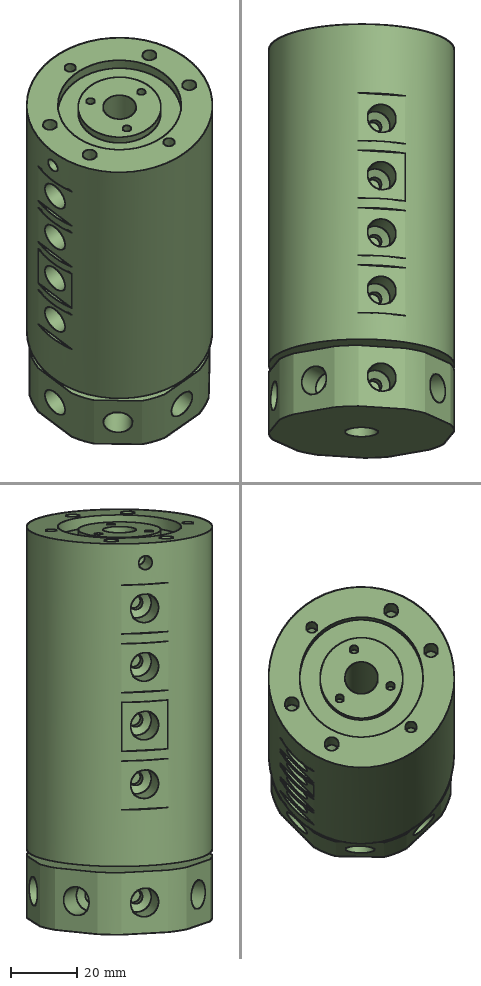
import cadquery as cq
import math

total_height = 120.0
body_diameter = 56.0
body_radius = body_diameter / 2
base_height = 19.1
neck_height = 1.9
neck_diameter = 34.0
bore_diameter = 10.0

flat_width = 14.5
flat_distance = math.sqrt(body_radius**2 - (flat_width / 2) ** 2)
base_flat_count = 8

pad_height = 15.0
pad_pitch = 18.0
pad_count = 4
front_pad_drop = 20.2
back_pad_drop = front_pad_drop + pad_pitch / 2

port_diameter = 8.8
port_depth = 8.0
passage_diameter = 4.2
passage_end_depth = 12.0
drill_point_angle = 118.0

recess_diameter = 37.2
recess_depth = 3.5
boss_diameter = 25.0
boss_drop = 1.0

mount_hole_diameter = 4.2
mount_hole_depth = 10.0
mount_circle_radius = 22.5
mount_hole_angles = (67.5, 112.5, 247.5, 292.5)
side_hole_diameter = 3.4
side_hole_depth = 8.0
side_circle_radius = 21.5
side_hole_angles = (0, 180)
boss_hole_diameter = 2.5
boss_hole_depth = 6.0
boss_circle_radius = 9.1
boss_hole_angles = (90, 210, 330)
set_screw_diameter = 4.2
set_screw_depth = 8.0
set_screw_drop = 6.0

FRONT = -90
BACK = 90


def cylinder(diameter, bottom, top):
    """Upright cylinder on the Z axis between two heights."""
    return cq.Workplane("XY").workplane(offset=bottom).circle(diameter / 2).extrude(top - bottom)


def on_side(cutter, angle, height):
    """Turn a cutter that points along +X to the given angle and raise it."""
    return cutter.rotate((0, 0, 0), (0, 0, 1), angle).translate((0, 0, height))


def point_length(large_diameter, small_diameter=0.0):
    """Axial length of a drill-point cone between two diameters."""
    return (large_diameter - small_diameter) / 2 / math.tan(math.radians(drill_point_angle / 2))


def drilled_hole(diameter, depth):
    """Blind hole with its mouth at the origin, going down to a pointed bottom."""
    profile = [
        (0, 0),
        (diameter / 2, 0),
        (diameter / 2, -depth),
        (0, -depth - point_length(diameter)),
    ]
    return cq.Workplane("XZ").polyline(profile).close().revolve(360, (0, 0), (0, 1))


def port_cutter():
    """Port pointing inward along the X axis, with its mouth on the flat."""
    port_radius = port_diameter / 2
    passage_radius = passage_diameter / 2
    cone_start = flat_distance - port_depth
    cone_end = cone_start - point_length(port_diameter, passage_diameter)
    passage_end = flat_distance - passage_end_depth
    profile = [
        (body_radius, 0),
        (body_radius, port_radius),
        (cone_start, port_radius),
        (cone_end, passage_radius),
        (passage_end, passage_radius),
        (passage_end, 0),
    ]
    return cq.Workplane("XY").polyline(profile).close().revolve(360, (0, 0), (1, 0))


def flat_cutter(height):
    """Block that removes the round surface outside one flat, centred on Z = 0."""
    return cq.Workplane("XY").box(
        body_radius, body_diameter, height, centered=(False, True, True)
    ).translate((flat_distance, 0, 0))


def drill_top(part, hole, circle_radius, angles, height):
    """Cut copies of a hole around a circle on an upward face."""
    for angle in angles:
        part = part.cut(on_side(hole.translate((circle_radius, 0, 0)), angle, height))
    return part


body_bottom = base_height + neck_height
result = cylinder(body_diameter, 0, base_height)
result = result.union(cylinder(neck_diameter, base_height, body_bottom))
result = result.union(cylinder(body_diameter, body_bottom, total_height))

for index in range(base_flat_count):
    flat_angle = index * 360 / base_flat_count
    result = result.cut(on_side(flat_cutter(base_height), flat_angle, base_height / 2))
    result = result.cut(on_side(port_cutter(), flat_angle, base_height / 2))

for side_angle, first_drop in ((FRONT, front_pad_drop), (BACK, back_pad_drop)):
    for index in range(pad_count):
        pad_center = total_height - first_drop - index * pad_pitch
        result = result.cut(on_side(flat_cutter(pad_height), side_angle, pad_center))
        result = result.cut(on_side(port_cutter(), side_angle, pad_center))

boss_top = total_height - boss_drop
recess = cylinder(recess_diameter, total_height - recess_depth, total_height)
boss = cylinder(boss_diameter, total_height - recess_depth, boss_top)
result = result.cut(recess.cut(boss))
result = result.cut(cylinder(bore_diameter, 0, total_height))

mount_hole = drilled_hole(mount_hole_diameter, mount_hole_depth)
result = drill_top(result, mount_hole, mount_circle_radius, mount_hole_angles, total_height)
side_hole = drilled_hole(side_hole_diameter, side_hole_depth)
result = drill_top(result, side_hole, side_circle_radius, side_hole_angles, total_height)
boss_hole = drilled_hole(boss_hole_diameter, boss_hole_depth)
result = drill_top(result, boss_hole, boss_circle_radius, boss_hole_angles, boss_top)

set_screw_hole = drilled_hole(set_screw_diameter, set_screw_depth)
set_screw_hole = set_screw_hole.rotate((0, 0, 0), (0, 1, 0), 90).translate((body_radius, 0, 0))
result = result.cut(on_side(set_screw_hole, FRONT, total_height - set_screw_drop))